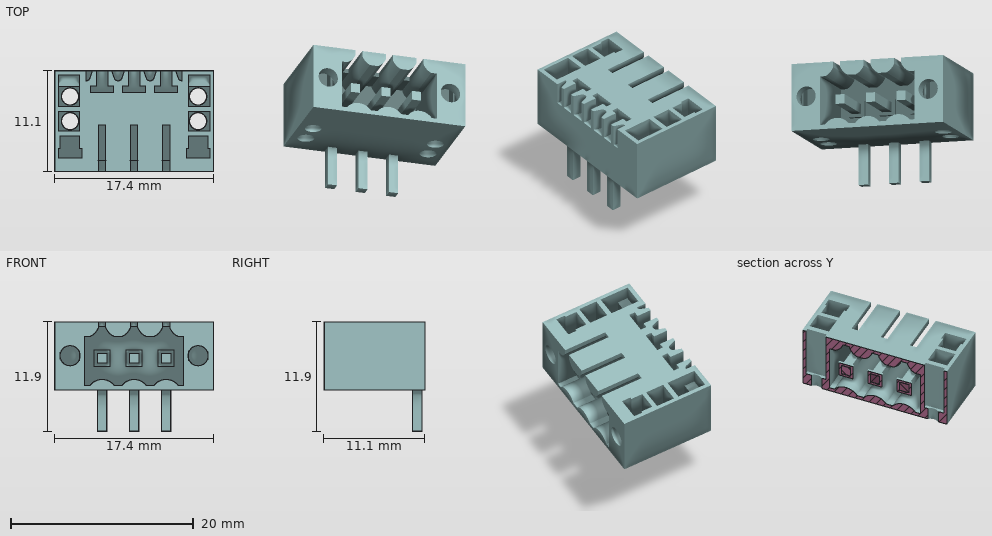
import cadquery as cq
import math


width = 17.4
depth = 11.05
height = 7.45
pole_count = 3
pitch = 3.5
pole_xs = [(i - (pole_count - 1) / 2) * pitch for i in range(pole_count)]
gap_xs = [(i - pole_count / 2) * pitch for i in range(pole_count + 1)]

pin_size = 1.05
pin_axis_z = 3.48
pin_tip_y = 1.2
tail_length = 4.5
tail_axis_y = 10.19

cavity_half_width = 5.43
cavity_floor_z = 0.48
cavity_ceiling_z = 5.88
floor_rib_half_width = 1.36
floor_rib_height = 0.68
lobe_half_width = 1.29
lobe_mid_half_width = 0.73
lobe_mid_z = 6.3
lobe_arc_top_z = 6.83
key_width = 0.8
key_roof_z = 6.97
key_slot_length = 5.08
boss_size = 1.78
boss_length = 0.5

rear_recess_floor_z = 4.9
t_bar_width = 2.5
t_bar_front_y = 8.66
t_bar_rear_y = 9.37
t_stem_width = 1.27
scallop_depth = 1.12
scallop_tip_radius = 0.44
scallop_wall_angle = math.radians(19)

rear_wall = 0.9
cavity_rear_y = t_bar_front_y - rear_wall

flange_axis_x = 7.0
flange_hole_diameter = 2.2
flange_hole_z = 3.76
pocket_outer_x = 8.275
pocket_inner_x = 5.95
pocket_floor_z = 1.5
rear_pocket_y = (7.14, 10.55)
middle_pocket_y = (4.42, 6.58)
ledge_front_y = 9.33
ledge_z = 5.72
mounting_hole_diameter = 1.86
mounting_hole_ys = (5.52, 8.22)
nut_head_inner_x = 5.71
nut_head_y = (1.5, 2.54)
nut_body_outer_x = 8.08
nut_body_rear_y = 3.92


def block(xs, ys, zs):
    """Box between two limits along each axis."""
    size = [max(limits) - min(limits) for limits in (xs, ys, zs)]
    corner = (min(xs), min(ys), min(zs))
    return cq.Workplane("XY").box(*size, centered=False).translate(corner)


def centred(middle, size):
    """Limits of a span of the given size about its middle."""
    return (middle - size / 2, middle + size / 2)


def front_sketch(y=0):
    """Plane parallel to the mating face, with X right and Z up; it extrudes towards -Y."""
    return cq.Workplane("XZ", origin=(0, y, 0))


def mating_cavity():
    """Cavity with a round rib under each pin and round ceiling lobes between the key slots."""
    key_half = key_width / 2
    outline = front_sketch(cavity_rear_y).moveTo(-cavity_half_width, cavity_floor_z)
    for x in pole_xs:
        outline = outline.lineTo(x - floor_rib_half_width, cavity_floor_z)
        outline = outline.threePointArc(
            (x, cavity_floor_z + floor_rib_height),
            (x + floor_rib_half_width, cavity_floor_z),
        )
    outline = outline.lineTo(cavity_half_width, cavity_floor_z)
    outline = outline.lineTo(cavity_half_width, cavity_ceiling_z)
    for x in reversed(pole_xs):
        outline = outline.lineTo(x + lobe_half_width, cavity_ceiling_z)
        outline = outline.threePointArc(
            (x + lobe_mid_half_width, lobe_mid_z),
            (x + key_half, lobe_arc_top_z),
        )
        outline = outline.lineTo(x + key_half, key_roof_z)
        outline = outline.lineTo(x - key_half, key_roof_z)
        outline = outline.lineTo(x - key_half, lobe_arc_top_z)
        outline = outline.threePointArc(
            (x - lobe_mid_half_width, lobe_mid_z),
            (x - lobe_half_width, cavity_ceiling_z),
        )
    outline = outline.lineTo(-cavity_half_width, cavity_ceiling_z)
    return outline.close().extrude(cavity_rear_y)


def key_slot(x):
    """Slot that opens a cavity key through the top face."""
    return block(centred(x, key_width), (0, key_slot_length), (lobe_arc_top_z, height))


def pin_boss(x):
    """Square boss round the pin on the rear wall of the cavity."""
    return block(
        centred(x, boss_size),
        (cavity_rear_y - boss_length, cavity_rear_y),
        centred(pin_axis_z, boss_size),
    )


def t_slot(x):
    """T-shaped recess behind a pin, open at the rear face."""
    recess_z = (rear_recess_floor_z, height)
    bar = block(centred(x, t_bar_width), (t_bar_front_y, t_bar_rear_y), recess_z)
    stem = block(centred(x, t_stem_width), (t_bar_front_y, depth), recess_z)
    return bar.union(stem)


def scallop(x):
    """Round-tipped V notch in the rear face, its arc tangent to its sloping walls."""
    tip_y = depth - scallop_depth
    tangent_x = scallop_tip_radius * math.cos(scallop_wall_angle)
    tangent_y = tip_y + scallop_tip_radius * (1 - math.sin(scallop_wall_angle))
    mouth_half = tangent_x + (depth - tangent_y) * math.tan(scallop_wall_angle)
    return (
        cq.Workplane("XY", origin=(x, 0, rear_recess_floor_z))
        .moveTo(-mouth_half, depth)
        .lineTo(-tangent_x, tangent_y)
        .threePointArc((0, tip_y), (tangent_x, tangent_y))
        .lineTo(mouth_half, depth)
        .close()
        .extrude(height - rear_recess_floor_z)
    )


def scallops():
    """Notches between the pins; the outermost two keep only their inner halves."""
    inner_span = block((gap_xs[0], gap_xs[-1]), (0, depth), (0, height))
    notches = scallop(gap_xs[0])
    for x in gap_xs[1:]:
        notches = notches.union(scallop(x))
    return notches.intersect(inner_span)


def flange_cuts(side):
    """Pockets with the screw hole, and mounting holes, of one flange; side is -1 or +1 along X."""
    pocket_z = (pocket_floor_z, height)
    pocket_x = (side * pocket_outer_x, side * pocket_inner_x)
    hole_x = side * flange_axis_x

    rear_pocket = block(pocket_x, rear_pocket_y, pocket_z)
    ledge = block(pocket_x, (ledge_front_y, rear_pocket_y[1]), (pocket_floor_z, ledge_z))
    middle_pocket = block(pocket_x, middle_pocket_y, pocket_z)
    nut_head = block((side * pocket_outer_x, side * nut_head_inner_x), nut_head_y, pocket_z)
    nut_body = block(
        (side * nut_body_outer_x, side * pocket_inner_x),
        (nut_head_y[0], nut_body_rear_y),
        pocket_z,
    )
    mounting_holes = (
        cq.Workplane("XY")
        .pushPoints([(hole_x, y) for y in mounting_hole_ys])
        .circle(mounting_hole_diameter / 2)
        .extrude(height / 2)
    )
    screw_hole = (
        front_sketch()
        .center(hole_x, flange_hole_z)
        .circle(flange_hole_diameter / 2)
        .extrude(-nut_head_y[1])
    )
    cuts = rear_pocket.cut(ledge)
    for cut in (middle_pocket, nut_head, nut_body, screw_hole):
        cuts = cuts.union(cut)
    return cuts, mounting_holes


def make_pin(x):
    """Square pin bent down at a right angle, from the mating tip to the solder tail."""
    arm_z = centred(pin_axis_z, pin_size)
    tail_y = centred(tail_axis_y, pin_size)
    arm = block(centred(x, pin_size), (pin_tip_y, tail_y[1]), arm_z)
    tail = block(centred(x, pin_size), tail_y, (-tail_length, arm_z[1]))
    return arm.union(tail)


def make_housing(pins):
    """Housing with its cavity, recesses and flanges, and a fitting hole for each pin."""
    body = block(centred(0, width), (0, depth), (0, height))
    body = body.cut(mating_cavity())
    for x in pole_xs:
        body = body.cut(key_slot(x)).union(pin_boss(x)).cut(t_slot(x))
    body = body.cut(scallops())
    for side in (-1, 1):
        pockets, mounting_holes = flange_cuts(side)
        body = body.cut(pockets).cut(mounting_holes)
    for pin in pins:
        body = body.cut(pin)
    return body


pins = [make_pin(x) for x in pole_xs]
housing = make_housing(pins)

result = cq.Compound.makeCompound([housing.val(), *[pin.val() for pin in pins]])